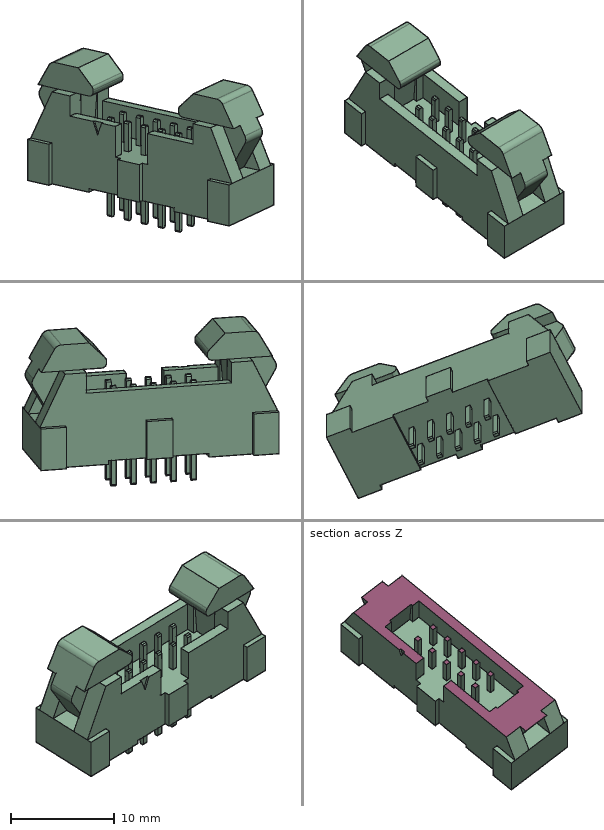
import cadquery as cq
import math

body_length = 23.76
overall_width = 7.62
wall_outer_width = 6.6
cavity_width = 4.5

floor_z = 4.22
wall_top_z = 7.37
ear_top_z = 9.44
ear_inner_x = 7.25
lug_length = 2.52
rib_width = 2.58
standoff_height = 0.37
standoff_gap = 10.04
key_width = 3.78

mark_x = -4.0
mark_width = 1.0
mark_height = 1.27
mark_depth = 0.2

pin_columns = 5
pin_rows = 2
pin_pitch = 2.0
row_pitch = 2.05
pin_size = 0.5
pin_top_z = 7.22
pin_bottom_z = -2.88
pin_chamfer_height = 0.16
pin_chamfer_width = 0.11

latch_neck_width = 2.84
latch_head_width = 5.1
latch_head_bottom_z = 9.56
latch_top_z = 12.21
latch_elbow_z = 8.21
overall_length = 24.39
latch_lean = 30
latch_outer_radius = 0.8
latch_foot_inner_x = 7.67
hook_tip_x = 5.03
hook_top_x = 6.79
hook_radius = 0.5

body_half = body_length / 2
ear_top_outer_x = body_half - lug_length
lean_slope = math.tan(math.radians(latch_lean))
elbow_x = overall_length / 2 + latch_outer_radius * (1 / math.cos(math.radians(latch_lean)) - 1)


def outer_latch_x(z):
    """X of the right latch's sharp-cornered outer face at height z."""
    return elbow_x - lean_slope * abs(z - latch_elbow_z)


def box(x_range, y_range, z_range):
    """Axis-aligned block between the given limits."""
    lows, highs = zip(x_range, y_range, z_range)
    sizes = [high - low for low, high in zip(lows, highs)]
    return cq.Workplane("XY").box(*sizes, centered=False).translate(lows)


def centred(size):
    """Limits of a span of the given size about zero."""
    return (-size / 2, size / 2)


def prism_across_width(points, width):
    """Extrude an XZ outline symmetrically along Y."""
    return cq.Workplane("XZ").polyline(points).close().extrude(width / 2, both=True)


def make_shell():
    """Long body with sloped ears, opened by the cavity and the ear slots."""
    right_side = [
        (body_half, 0),
        (body_half, floor_z),
        (ear_top_outer_x, ear_top_z),
        (ear_inner_x, ear_top_z),
        (ear_inner_x, wall_top_z),
    ]
    left_side = [(-x, z) for x, z in reversed(right_side)]
    shell = prism_across_width(right_side + left_side, wall_outer_width)
    cavity = box(centred(2 * ear_inner_x), centred(cavity_width), (floor_z, ear_top_z))
    ear_slots = box(centred(body_length), centred(latch_neck_width), (floor_z, ear_top_z))
    return shell.cut(cavity).cut(ear_slots)


def add_lugs_and_ribs(shell):
    """Full-width blocks at both ends and at the middle."""
    for side in (-1, 1):
        ends = sorted((side * ear_top_outer_x, side * body_half))
        shell = shell.union(box(ends, centred(overall_width), (0, floor_z)))
    rib = box(centred(rib_width), centred(overall_width), (0, floor_z))
    return shell.union(rib)


def cut_standoff_gap(shell):
    """Raise the underside between the two feet."""
    return shell.cut(box(centred(standoff_gap), centred(overall_width), (0, standoff_height)))


def cut_key_slot(shell):
    """Polarising gap through the front wall, down to the cavity floor."""
    return shell.cut(box(centred(key_width), (-overall_width / 2, 0), (floor_z, wall_top_z)))


def cut_pin_one_mark(shell):
    """Shallow triangle pointing down from the front wall's top edge."""
    mark = (
        cq.Workplane("XZ", origin=(mark_x, -wall_outer_width / 2, wall_top_z))
        .polyline([(-mark_width / 2, 0), (mark_width / 2, 0), (0, -mark_height)])
        .close()
        .extrude(-mark_depth)
    )
    return shell.cut(mark)


def make_pin():
    """Square pin whose two tips taper in the Y direction only."""
    pin = box(centred(pin_size), centred(pin_size), (pin_bottom_z, pin_top_z))
    return pin.faces("<Z or >Z").edges("|X").chamfer(pin_chamfer_height, pin_chamfer_width)


def add_pins(shell):
    pin = make_pin()
    for column in range(pin_columns):
        for row in range(pin_rows):
            x = (column - (pin_columns - 1) / 2) * pin_pitch
            y = (row - (pin_rows - 1) / 2) * row_pitch
            shell = shell.union(pin.translate((x, y, 0)))
    return shell


def make_right_latch():
    """Latch with a narrow neck in the ear slot and a wide hooked head."""
    neck = prism_across_width(
        [
            (latch_foot_inner_x, floor_z),
            (outer_latch_x(floor_z), floor_z),
            (elbow_x, latch_elbow_z),
            (outer_latch_x(latch_head_bottom_z), latch_head_bottom_z),
            (ear_inner_x, latch_head_bottom_z),
        ],
        latch_neck_width,
    )
    neck = neck.edges("|Y and >X").fillet(latch_outer_radius)

    hook_chamfer = hook_top_x - hook_tip_x
    head = prism_across_width(
        [
            (hook_tip_x, latch_head_bottom_z),
            (outer_latch_x(latch_head_bottom_z), latch_head_bottom_z),
            (outer_latch_x(latch_top_z), latch_top_z),
            (hook_top_x, latch_top_z),
            (hook_tip_x, latch_top_z - hook_chamfer),
        ],
        latch_head_width,
    )
    head = head.faces("<X").edges("|Y").fillet(hook_radius)
    head = head.faces(">Z").edges("|Y and >X").fillet(latch_outer_radius)
    return neck.union(head)


def add_latches(shell):
    right_latch = make_right_latch()
    left_latch = right_latch.mirror("YZ")
    return shell.union(right_latch).union(left_latch)


part = make_shell()
part = add_lugs_and_ribs(part)
part = cut_standoff_gap(part)
part = cut_key_slot(part)
part = cut_pin_one_mark(part)
part = add_pins(part)
part = add_latches(part)
result = part